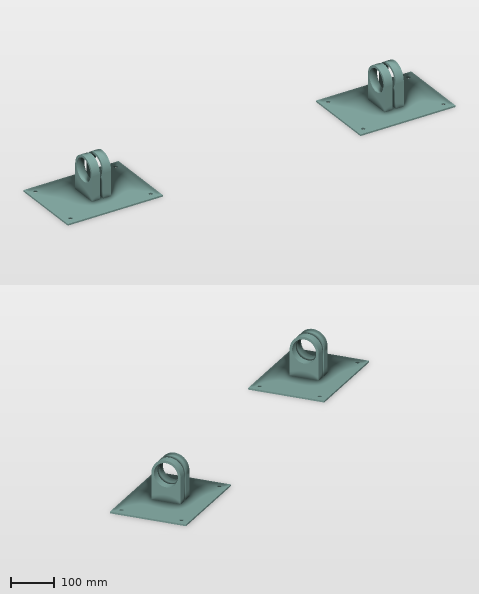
import cadquery as cq

total_length = 1059.0
total_height = 108.0
bracket_offsets = (-1, 1)

plate_width = 192.0
plate_length = 259.0
plate_thickness = 4.0
mount_hole_diameter = 10.0
mount_hole_inset = 20.0

lug_width = 73.0
lug_thickness = 21.0
lug_gap = 10.0
bore_diameter = 60.0

bracket_pitch = total_length - plate_length
lug_radius = lug_width / 2
bore_height = total_height - lug_radius
lug_offset = (lug_gap + lug_thickness) / 2


def make_plate():
    """Flat plate standing on Z = 0, with a mounting hole near each corner."""
    return (
        cq.Workplane("XY")
        .box(plate_width, plate_length, plate_thickness, centered=(True, True, False))
        .faces(">Z")
        .workplane()
        .rect(
            plate_width - 2 * mount_hole_inset,
            plate_length - 2 * mount_hole_inset,
            forConstruction=True,
        )
        .vertices()
        .hole(mount_hole_diameter)
    )


def make_lug(center_y):
    """Upright lug with a round top and a bore along Y, concentric with the top."""
    return (
        cq.Workplane("XZ", origin=(0, center_y, 0))
        .moveTo(-lug_radius, plate_thickness)
        .lineTo(lug_radius, plate_thickness)
        .lineTo(lug_radius, bore_height)
        .threePointArc((0, total_height), (-lug_radius, bore_height))
        .close()
        .moveTo(0, bore_height)
        .circle(bore_diameter / 2)
        .extrude(lug_thickness / 2, both=True)
    )


def make_bracket(center_y):
    """Plate with its two lugs, as one solid."""
    bracket = make_plate()
    for side in (-1, 1):
        bracket = bracket.union(make_lug(side * lug_offset))
    return bracket.translate((0, center_y, 0))


brackets = []
for offset in bracket_offsets:
    brackets.append(make_bracket(offset * bracket_pitch / 2).val())

bracket_solids = [solid for bracket in brackets for solid in bracket.Solids()]

result = cq.Compound.makeCompound(bracket_solids)